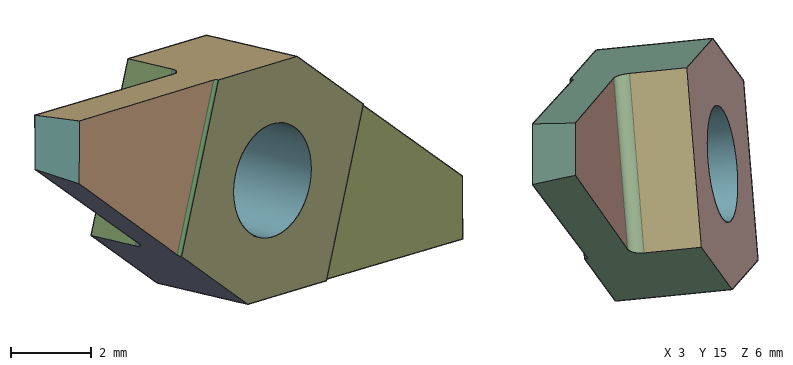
import cadquery as cq
import math

length = 15.0
thickness = 3.0
height = 6.0
tip_height = 1.4
flank_angle = 35.0
hole_diameter = 2.91
shoulder_angle = 18.0
shoulder_distance = 2.85
blade_front = 0.3
blade_back = 1.41
blade_flare_angle = 0.5
front_fillet = 0.33
back_fillet = 0.08
tip_bevel_angle = 15.0

half_length = length / 2
half_thickness = thickness / 2
half_height = height / 2
cut_reach = length


def tangent(angle):
    return math.tan(math.radians(angle))


def half_turn(shape):
    """Copy a shape to the other end of the part, around the X axis."""
    return shape.rotate((0, 0, 0), (1, 0, 0), 180)


def body():
    """Plate with a six-sided outline, alike after a half turn about X."""
    tip_edge = half_height - tip_height
    flank_run = (height - tip_height) / tangent(flank_angle)
    corner = half_length - flank_run
    outline = [
        (-half_length, half_height),
        (corner, half_height),
        (half_length, -tip_edge),
        (half_length, -half_height),
        (-corner, -half_height),
        (-half_length, tip_edge),
    ]
    plate = cq.Workplane("YZ").polyline(outline).close()
    return plate.extrude(half_thickness, both=True)


def blade_relief(blade_x, outer_x, radius):
    """Material beside the +Y blade, with a concave fillet at the shoulder."""
    lean = math.radians(shoulder_angle)
    across_shoulder = cq.Plane(
        origin=(0, 0, 0), xDir=(1, 0, 0), normal=(0, math.sin(lean), math.cos(lean))
    )
    outward = math.copysign(1, outer_x - blade_x)
    blade_end_x = blade_x + outward * cut_reach * tangent(blade_flare_angle)
    flare_start = shoulder_distance + radius
    far = flare_start + cut_reach
    fillet_inset = radius * (1 - math.sqrt(0.5))
    profile = (
        cq.Workplane(across_shoulder)
        .moveTo(outer_x, shoulder_distance)
        .lineTo(blade_x + outward * radius, shoulder_distance)
        .threePointArc(
            (blade_x + outward * fillet_inset, shoulder_distance + fillet_inset),
            (blade_x, flare_start),
        )
        .lineTo(blade_end_x, far)
        .lineTo(outer_x, far)
        .close()
    )
    return profile.extrude(cut_reach, both=True)


def tip_bevel():
    """Wedge that slants the +Y end back toward the +X face."""
    lean = math.radians(shoulder_angle)
    tip_distance = half_length * math.cos(lean) + half_height * math.sin(lean)
    flare_length = tip_distance - shoulder_distance - front_fillet
    tip_x = blade_front - flare_length * tangent(blade_flare_angle)
    setback = (half_thickness - tip_x) * tangent(tip_bevel_angle)
    profile = [
        (tip_x, half_length),
        (half_thickness, half_length),
        (half_thickness, half_length - setback),
    ]
    return cq.Workplane("XY").polyline(profile).close().extrude(height, both=True)


hole = cq.Workplane("YZ").circle(hole_diameter / 2).extrude(thickness, both=True)
result = body().cut(hole)

cutters = [
    blade_relief(blade_front, -thickness, front_fillet),
    blade_relief(blade_back, thickness, back_fillet),
    tip_bevel(),
]
for cutter in cutters:
    result = result.cut(cutter).cut(half_turn(cutter))